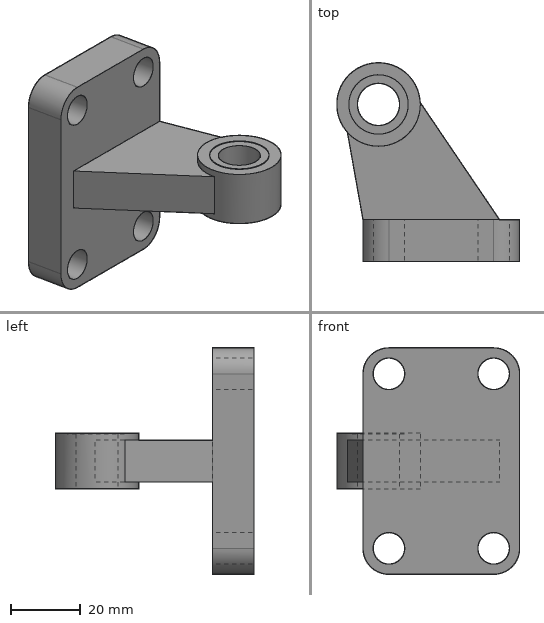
import cadquery as cq

plate_width = 45.0
plate_height = 65.0
plate_thickness = 12.0
corner_radius = 7.5
bolt_hole_diameter = 9.0
bolt_spacing_x = plate_width - 2 * corner_radius
bolt_spacing_z = plate_height - 2 * corner_radius

boss_diameter = 24.0
boss_height = 16.0
boss_inset = 4.5
boss_reach = 33.0
boss_x = boss_inset - plate_width / 2
boss_y = plate_thickness + boss_reach
bushing_diameter = 17.0
bushing_recess = 0.2
bore_diameter = 12.0

arm_thickness = 12.0
arm_root_width = 39.2
arm_root_left = -plate_width / 2
arm_root_right = arm_root_left + arm_root_width
arm_tip_left = (boss_x - 9.0, boss_y - 7.85)
arm_tip_right = (boss_x + 11.7, boss_y + 1.0)


def make_plate():
    """Rounded rectangular plate with a bolt hole at each corner centre."""
    blank = cq.Workplane("XY").box(plate_width, plate_thickness, plate_height)
    return (
        blank.translate((0, plate_thickness / 2, 0))
        .edges("|Y")
        .fillet(corner_radius)
        .faces("<Y")
        .workplane(centerOption="CenterOfBoundBox")
        .rect(bolt_spacing_x, bolt_spacing_z, forConstruction=True)
        .vertices()
        .hole(bolt_hole_diameter)
    )


def make_arm():
    """Web that narrows from the plate and ends inside the boss."""
    return (
        cq.Workplane("XY")
        .moveTo(arm_root_left, plate_thickness)
        .lineTo(arm_root_right, plate_thickness)
        .lineTo(*arm_tip_right)
        .lineTo(boss_x, boss_y)
        .lineTo(*arm_tip_left)
        .close()
        .extrude(arm_thickness / 2, both=True)
    )


def pivot_cylinder(diameter, height):
    """Cylinder on the pivot axis, centred on z = 0."""
    return (
        cq.Workplane("XY")
        .center(boss_x, boss_y)
        .circle(diameter / 2)
        .extrude(height / 2, both=True)
    )


boss = pivot_cylinder(boss_diameter, boss_height)
bore = pivot_cylinder(bore_diameter, boss_height)

recess_floor = boss_height / 2 - bushing_recess
recess = (
    cq.Workplane("XY", origin=(boss_x, boss_y, recess_floor))
    .circle(bushing_diameter / 2)
    .extrude(bushing_recess)
)

result = make_plate().union(make_arm()).union(boss).cut(bore).cut(recess)